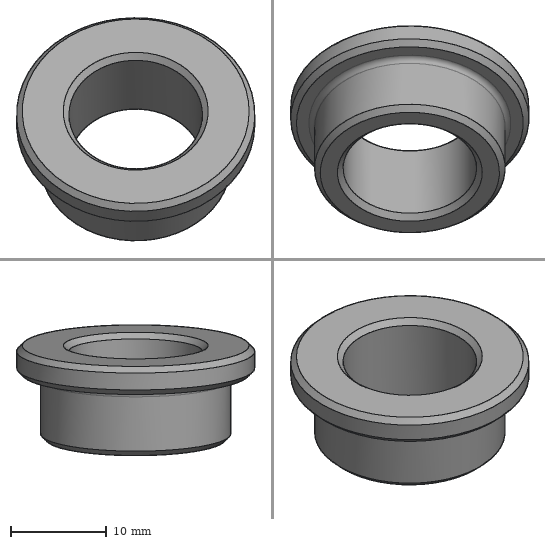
import cadquery as cq

flange_diameter = 25.0
sleeve_diameter = 20.0
bore_diameter = 14.0
total_height = 10.0
flange_thickness = 3.0
edge_chamfer = 0.6
neck_fillet = 0.6

sleeve_length = total_height - flange_thickness


def make_sleeve():
    """Cylindrical sleeve standing on the XY plane, with its lower rim chamfered."""
    sleeve = cq.Workplane("XY").circle(sleeve_diameter / 2).extrude(sleeve_length)
    return sleeve.faces("<Z").edges().chamfer(edge_chamfer)


def make_flange():
    """Flange disc on top of the sleeve, with both rims chamfered."""
    flange = cq.Workplane("XY").workplane(offset=sleeve_length)
    flange = flange.circle(flange_diameter / 2).extrude(flange_thickness)
    return flange.faces("<Z or >Z").edges().chamfer(edge_chamfer)


def round_neck(body):
    """Fillet the inside corner where the sleeve meets the flange underside."""
    corner = cq.selectors.RadiusNthSelector(0)
    flange_underside = body.faces(cq.selectors.NearestToPointSelector((0, 0, sleeve_length)))
    return flange_underside.edges(corner).fillet(neck_fillet)


def cut_bore(body):
    """Through bore, chamfered at both mouths."""
    bored = body.faces(">Z").workplane().hole(bore_diameter)
    top_mouth = bored.faces(">Z").edges(cq.selectors.RadiusNthSelector(0))
    bottom_mouth = bored.faces("<Z").edges(cq.selectors.RadiusNthSelector(0))
    return bored.newObject(top_mouth.vals() + bottom_mouth.vals()).chamfer(edge_chamfer)


body = make_sleeve().union(make_flange())
result = cut_bore(round_neck(body))